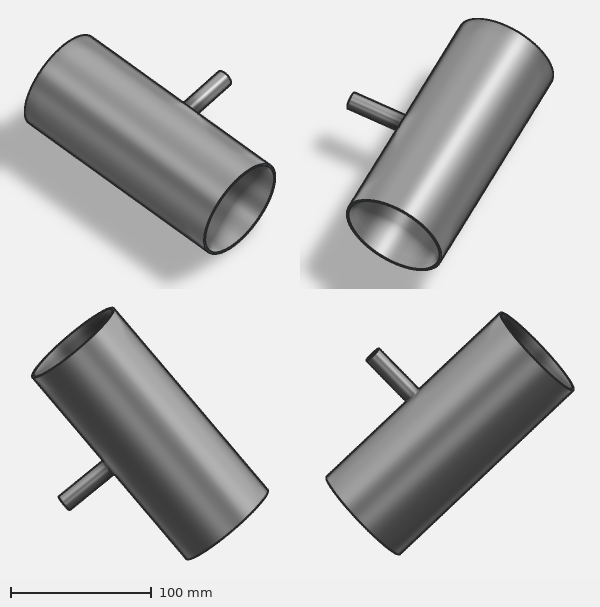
import cadquery as cq

run_length = 171.5
run_outer_diameter = 76.1
run_inner_diameter = 72.9

branch_outer_diameter = 12.7
branch_inner_diameter = 9.5
total_depth = 117.5
branch_reach = total_depth - run_outer_diameter / 2
weld_radius = 1.6


def run_cylinder(diameter):
    """Cylinder along X, centred on the origin."""
    return cq.Workplane("YZ").circle(diameter / 2).extrude(run_length / 2, both=True)


def branch_cylinder(diameter):
    """Cylinder along +Y from the main tube axis to the open branch end."""
    return cq.Workplane("XZ").circle(diameter / 2).extrude(-branch_reach)


body = run_cylinder(run_outer_diameter).union(branch_cylinder(branch_outer_diameter))
joint_box = cq.selectors.BoxSelector(
    (-branch_outer_diameter, 0, -branch_outer_diameter),
    (branch_outer_diameter, (run_outer_diameter + branch_outer_diameter) / 2, branch_outer_diameter),
    boundingbox=True,
)
body = body.edges(joint_box).fillet(weld_radius)

result = body.cut(run_cylinder(run_inner_diameter)).cut(branch_cylinder(branch_inner_diameter))